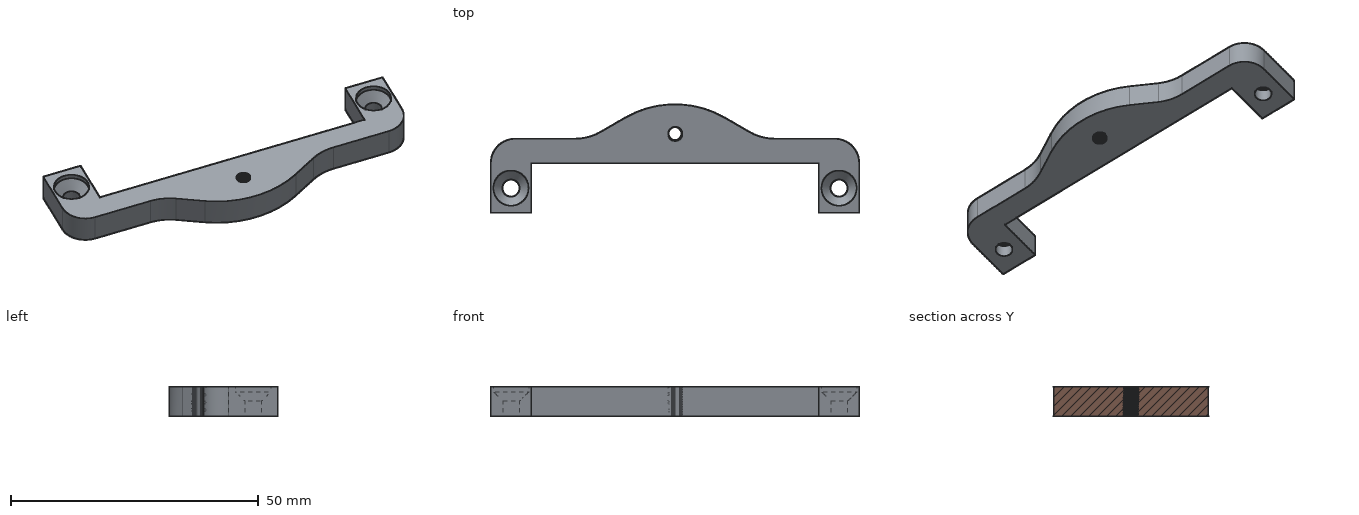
import cadquery as cq
import math

length = 74.4
thickness = 6.0
hump_height = 21.94

leg_width = 8.2
leg_height = 10.0
bar_width = 5.0
corner_radius = bar_width

crest_radius = 20.0
root_radius = 10.0
flank_angle = math.radians(30.0)

center_hole_height = 16.0
thread_minor_diameter = 2.6
thread_major_diameter = 3.0
thread_pitch = 0.5
thread_groove_width = 0.35
thread_overlap = 0.05

screw_hole_diameter = 3.4
screw_head_diameter = 7.1
screw_head_recess = 1.0
countersink_angle = math.radians(90.0)
screw_hole_height = leg_height / 2

half_length = length / 2
inner_half_length = half_length - leg_width
bar_top = leg_height + bar_width
thread_length = thickness + 2 * thread_pitch
screw_hole_offset = half_length - leg_width / 2


def arc_point(center_x, center_y, radius, angle):
    """Point on a circle, with the angle measured from +Y toward +X."""
    return (center_x + radius * math.sin(angle), center_y + radius * math.cos(angle))


def mirrored(point):
    return (-point[0], point[1])


def make_body():
    crest_center_y = hump_height - crest_radius
    root_center_y = bar_top + root_radius
    center_rise = root_center_y - crest_center_y
    radius_sum = crest_radius + root_radius
    root_center_x = (radius_sum - center_rise * math.cos(flank_angle)) / math.sin(flank_angle)

    crest_end = arc_point(0, crest_center_y, crest_radius, flank_angle)
    root_start = arc_point(root_center_x, root_center_y, -root_radius, flank_angle)
    root_middle = arc_point(root_center_x, root_center_y, -root_radius, flank_angle / 2)
    root_end = (root_center_x, bar_top)
    corner_middle = arc_point(
        half_length - corner_radius, bar_top - corner_radius, corner_radius, math.pi / 4
    )
    corner_start = (half_length - corner_radius, bar_top)
    corner_end = (half_length, bar_top - corner_radius)

    return (
        cq.Workplane("XY")
        .moveTo(-inner_half_length, leg_height)
        .lineTo(inner_half_length, leg_height)
        .lineTo(inner_half_length, 0)
        .lineTo(half_length, 0)
        .lineTo(*corner_end)
        .threePointArc(corner_middle, corner_start)
        .lineTo(*root_end)
        .threePointArc(root_middle, root_start)
        .lineTo(*crest_end)
        .threePointArc((0, hump_height), mirrored(crest_end))
        .lineTo(*mirrored(root_start))
        .threePointArc(mirrored(root_middle), mirrored(root_end))
        .lineTo(*mirrored(corner_start))
        .threePointArc(mirrored(corner_middle), mirrored(corner_end))
        .lineTo(-half_length, 0)
        .lineTo(-inner_half_length, 0)
        .close()
        .extrude(thickness)
    )


def make_thread_groove():
    """Helical V groove that runs past both faces of the plate."""
    bore_radius = thread_minor_diameter / 2
    groove_depth = (thread_major_diameter - thread_minor_diameter) / 2
    inner_radius = bore_radius - thread_overlap
    inner_half_width = thread_groove_width / 2 * (1 + thread_overlap / groove_depth)
    helix = cq.Wire.makeHelix(thread_pitch, thread_length, bore_radius)
    return (
        cq.Workplane("XZ")
        .moveTo(inner_radius, -inner_half_width)
        .lineTo(bore_radius + groove_depth, 0)
        .lineTo(inner_radius, inner_half_width)
        .close()
        .sweep(cq.Workplane(helix), isFrenet=True)
        .translate((0, center_hole_height, -thread_pitch))
    )


def make_center_hole():
    return (
        cq.Workplane("XY")
        .center(0, center_hole_height)
        .circle(thread_minor_diameter / 2)
        .extrude(thickness)
    )


def make_screw_hole(x):
    """Through hole, cone and straight head recess, revolved about the screw axis."""
    hole_radius = screw_hole_diameter / 2
    head_radius = screw_head_diameter / 2
    cone_depth = (head_radius - hole_radius) / math.tan(countersink_angle / 2)
    cone_top = thickness - screw_head_recess
    profile = [
        (0, 0),
        (hole_radius, 0),
        (hole_radius, cone_top - cone_depth),
        (head_radius, cone_top),
        (head_radius, thickness),
        (0, thickness),
    ]
    cutter = cq.Workplane("XZ").polyline(profile).close().revolve(360, (0, 0), (0, 1))
    return cutter.translate((x, screw_hole_height, 0))


result = make_body().cut(make_thread_groove()).cut(make_center_hole())
for side in (-1, 1):
    result = result.cut(make_screw_hole(side * screw_hole_offset))